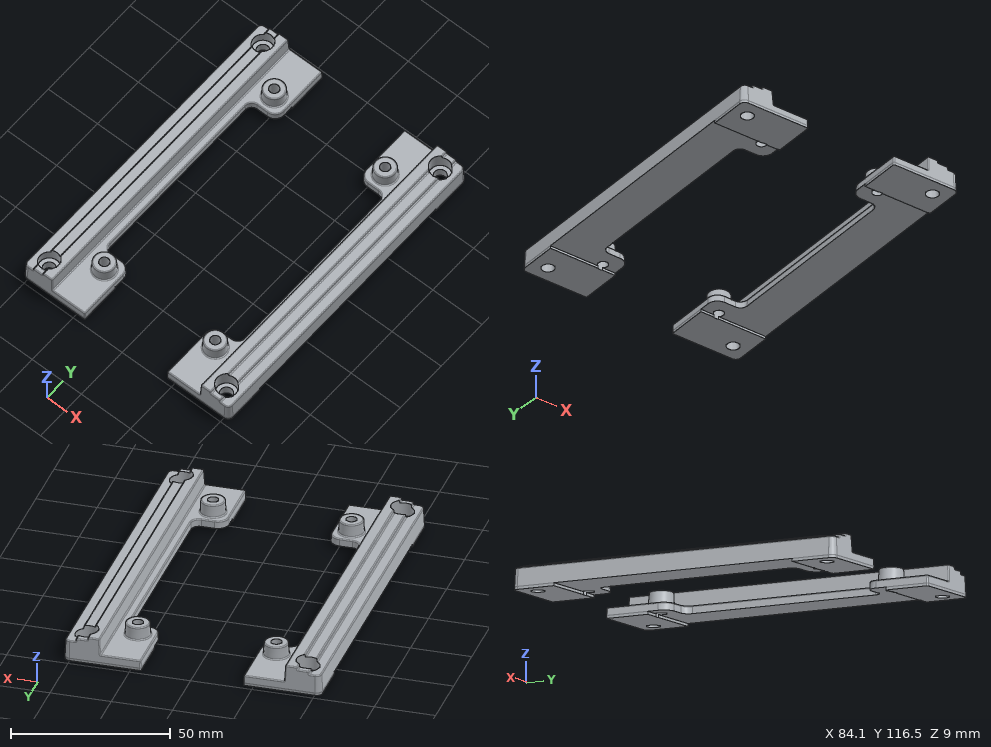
import cadquery as cq
import math

LENGTH = 116.5
SPAN = 84.1
HALF_LENGTH = LENGTH / 2
HALF_SPAN = SPAN / 2
ENDS = (-1, 1)

OVERRUN = 1.2

PARTING_HEIGHT = 0.9
DRAFT_ANGLE = 3.0
EDGE_FILLET = 0.3
INNER_CORNER_RADIUS = 0.5
CORNER_RADIUS = 2.0

PLATE_TOP = 3.5
LOW_STEP_TOP = 7.0
MIDDLE_STEP_TOP = 8.0
RIDGE_TOP = 9.0

MIDDLE_STEP_START = 4.0
RIDGE_START = 7.8
RIDGE_WALL = 12.0

PLATE_WIDTH = 25.4

TAB_LENGTH = 22.6
NECK_WIDTH = 14.8
TAB_RADIUS = 3.7
CUTOUT_RADIUS = 2.6

FOOT_LENGTH = 15.1

MOUNT_INSET = 5.9
MOUNT_DIAMETER = 4.4
RECESS_DIAMETER = 7.5
RECESS_FLOOR = 3.5

BOSS_X = 19.5
BOSS_INSET = 16.7
BOSS_RADIUS = 4.1
BOSS_TOP = 7.8
BOSS_BORE = 3.5


def vertical_bore(x, y, diameter, floor=0.0):
    return cq.Workplane("XY", origin=(x, y, floor)).circle(diameter / 2).extrude(RIDGE_TOP - floor)


def strip_outline():
    """Plan of one side: a full-length strip with two large outer and two small inner corners."""
    outline = cq.Sketch().push([(PLATE_WIDTH / 2, 0)]).rect(PLATE_WIDTH, LENGTH).reset()
    outline = outline.vertices("<X").fillet(CORNER_RADIUS).reset()
    return outline.vertices(">X").fillet(INNER_CORNER_RADIUS).reset()


def plate_outline():
    """Strip with the opening between the tabs removed from its inner side."""
    half_opening = HALF_LENGTH - TAB_LENGTH
    opening_width = PLATE_WIDTH - NECK_WIDTH
    outline = strip_outline().push([(PLATE_WIDTH - opening_width / 2, 0)])
    outline = outline.rect(opening_width, 2 * half_opening, mode="s").reset()
    for x, radius in ((NECK_WIDTH, CUTOUT_RADIUS), (PLATE_WIDTH, TAB_RADIUS)):
        corners = cq.selectors.BoxSelector(
            (x - OVERRUN, -half_opening - OVERRUN, -OVERRUN),
            (x + OVERRUN, half_opening + OVERRUN, OVERRUN),
        )
        outline = outline.vertices(corners).fillet(radius).reset()
    return outline


def drafted_block(outline, height):
    """Block rising from the parting plane, or dropping from it if the height is negative."""
    return (
        cq.Workplane("XY", origin=(0, 0, PARTING_HEIGHT))
        .placeSketch(outline)
        .extrude(height, taper=DRAFT_ANGLE)
    )


def lean(height):
    """Sideways shift of a drafted wall over a height."""
    return height * math.tan(math.radians(DRAFT_ANGLE))


def stepped_section():
    """Endless stepped profile with rounded step edges and rounded feet of the step walls."""
    profile = [
        (-OVERRUN, 0),
        (PLATE_WIDTH + OVERRUN, 0),
        (PLATE_WIDTH + OVERRUN, PLATE_TOP),
        (RIDGE_WALL, PLATE_TOP),
        (RIDGE_WALL - lean(RIDGE_TOP - PLATE_TOP), RIDGE_TOP),
        (RIDGE_START + lean(RIDGE_TOP - MIDDLE_STEP_TOP), RIDGE_TOP),
        (RIDGE_START, MIDDLE_STEP_TOP),
        (MIDDLE_STEP_START + lean(MIDDLE_STEP_TOP - LOW_STEP_TOP), MIDDLE_STEP_TOP),
        (MIDDLE_STEP_START, LOW_STEP_TOP),
        (-OVERRUN, LOW_STEP_TOP),
    ]
    section = cq.Workplane("XZ").polyline(profile).close().extrude(LENGTH, both=True)
    step_edges = cq.selectors.BoxSelector(
        (OVERRUN, -OVERRUN, OVERRUN),
        (PLATE_WIDTH, OVERRUN, RIDGE_TOP + OVERRUN),
    )
    return section.edges("|Y").edges(step_edges).fillet(EDGE_FILLET)


def stepped_rail():
    """Stepped profile trimmed by the drafted plan, with a rounded top rim."""
    rail = drafted_block(plate_outline(), RIDGE_TOP + OVERRUN).intersect(stepped_section())
    rim_edge = rail.edges(cq.selectors.NearestToPointSelector((0, 0, LOW_STEP_TOP)))
    return rim_edge.fillet(EDGE_FILLET)


def feet():
    """Two pads below the parting plane, with walls leaning inward on the way down."""
    pads = drafted_block(strip_outline(), -PARTING_HEIGHT)
    gap = cq.Workplane("XY").box(
        2 * PLATE_WIDTH, LENGTH - 2 * FOOT_LENGTH, PARTING_HEIGHT, centered=(True, True, False)
    )
    return pads.cut(gap)


def boss(y):
    """Drafted boss with a rounded rim and foot, turned with a disc that merges into the plate."""
    disc_radius = BOSS_RADIUS + 2 * EDGE_FILLET
    profile = [
        (0, PARTING_HEIGHT),
        (disc_radius, PARTING_HEIGHT),
        (disc_radius, PLATE_TOP),
        (BOSS_RADIUS, PLATE_TOP),
        (BOSS_RADIUS - lean(BOSS_TOP - PLATE_TOP), BOSS_TOP),
        (0, BOSS_TOP),
    ]
    turned = cq.Workplane("XZ").polyline(profile).close().revolve(360, (0, 0, 0), (0, 1, 0))
    rim_and_foot = turned.faces("%CONE").edges("%CIRCLE")
    return rim_and_foot.fillet(EDGE_FILLET).translate((BOSS_X, y, 0))


def side_rail():
    """Rail of the -X side with its outer face on X = -HALF_SPAN."""
    rail = stepped_rail().union(feet())
    for end in ENDS:
        mount_y = end * (HALF_LENGTH - MOUNT_INSET)
        boss_y = end * (HALF_LENGTH - BOSS_INSET)
        rail = rail.union(boss(boss_y))
        rail = rail.cut(vertical_bore(BOSS_X, boss_y, BOSS_BORE))
        rail = rail.cut(vertical_bore(MOUNT_INSET, mount_y, MOUNT_DIAMETER))
        rail = rail.cut(vertical_bore(MOUNT_INSET, mount_y, RECESS_DIAMETER, RECESS_FLOOR))
    return rail.translate((-HALF_SPAN, 0, 0))


left_side = side_rail()
right_side = left_side.mirror("YZ")

result = cq.Compound.makeCompound([left_side.val(), right_side.val()])